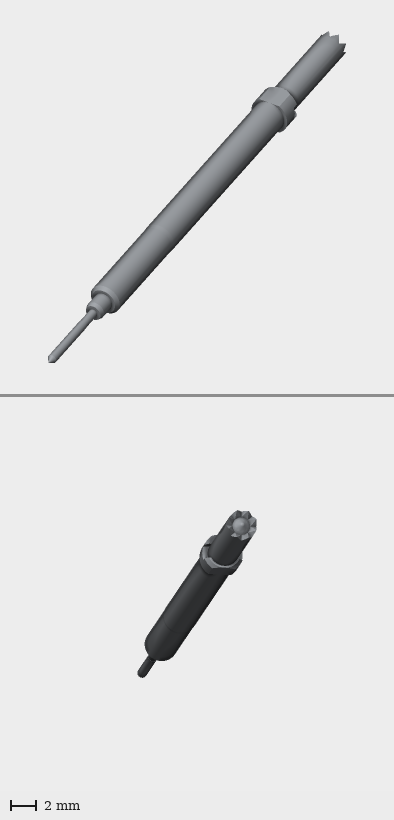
import cadquery as cq
import math


head_diameter = 2.35
head_length = 8.1
groove_count = 4
groove_pitch_angle = 180 / groove_count
groove_depth = 0.65
center_point_diameter = 1.4

collar_diameter = 3.2
collar_length = 2.05
collar_chamfer_length = 0.35
flat_distance = 2.65
key_slot_width = 1.1
key_slot_length = 0.85

barrel_diameter = 2.65
rear_barrel_diameter = 2.6
taper_start = 17.25
taper_length = 0.4
barrel_length = 26.05
barrel_chamfer_length = 0.3
barrel_end_diameter = 2.1

terminal_diameter = 1.55
terminal_length = 1.6
terminal_chamfer_length = 0.35
terminal_end_diameter = 1.3
pin_diameter = 0.75
pin_neck_diameter = 0.7
pin_neck_length = 1.65
pin_tip_length = 0.55
overall_length = 44.8

shoulder_y = collar_length
crown_y = shoulder_y + head_length
groove_floor_y = crown_y - groove_depth
tip_y = crown_y - overall_length
barrel_end_y = -barrel_length
terminal_end_y = barrel_end_y - terminal_length


def turned(profile):
    """Closed profile of (radius, y) points revolved about the Y axis."""
    return cq.Workplane("XY").polyline(profile).close().revolve(360, (0, 0, 0), (0, 1, 0))


def turned_body():
    """Head, collar, barrel, terminal and pin as one turned solid."""
    head_r = head_diameter / 2
    collar_r = collar_diameter / 2
    barrel_r = barrel_diameter / 2
    rear_r = rear_barrel_diameter / 2
    terminal_r = terminal_diameter / 2
    neck_r = pin_neck_diameter / 2
    pin_r = pin_diameter / 2
    profile = [
        (0, crown_y),
        (head_r, crown_y),
        (head_r, shoulder_y),
        (barrel_r, shoulder_y),
        (collar_r, shoulder_y - collar_chamfer_length),
        (collar_r, 0),
        (barrel_r, 0),
        (barrel_r, -taper_start),
        (rear_r, -taper_start - taper_length),
        (rear_r, barrel_end_y + barrel_chamfer_length),
        (barrel_end_diameter / 2, barrel_end_y),
        (terminal_r, barrel_end_y),
        (terminal_r, terminal_end_y + terminal_chamfer_length),
        (terminal_end_diameter / 2, terminal_end_y),
        (neck_r, terminal_end_y),
        (neck_r, terminal_end_y - pin_neck_length),
        (pin_r, terminal_end_y - pin_neck_length),
        (pin_r, tip_y + pin_tip_length),
        (0, tip_y),
    ]
    return turned(profile)


def collar_flats():
    """Blocks that trim the collar to its flats above and below the axis."""
    block = cq.Workplane("XY").box(
        collar_diameter, collar_length, collar_diameter, centered=(True, False, False)
    )
    upper = block.translate((0, 0, flat_distance / 2))
    lower = block.translate((0, 0, -flat_distance / 2 - collar_diameter))
    return upper.union(lower)


def key_slots():
    """Notches in both sides of the collar, open to the front and level with the head."""
    slot_bar = cq.Workplane("XY").box(
        2 * collar_diameter, key_slot_length, key_slot_width, centered=(True, False, True)
    )
    head_core = cq.Workplane("XZ").circle(head_diameter / 2).extrude(-key_slot_length)
    return slot_bar.cut(head_core).translate((0, shoulder_y - key_slot_length, 0))


def crown_groove(angle):
    """V groove across the whole crown; neighbouring grooves meet at the tooth tips."""
    half_pitch = math.radians(groove_pitch_angle / 2)
    half_width = head_diameter / 2 * math.sin(half_pitch)
    groove = (
        cq.Workplane("XY")
        .polyline([(-half_width, crown_y), (half_width, crown_y), (0, groove_floor_y)])
        .close()
        .extrude(head_diameter, both=True)
    )
    return groove.rotate((0, 0, 0), (0, 1, 0), angle)


def crown_cup():
    """Ring-shaped V recess that thins the teeth from inside around a central cone."""
    profile = [(0, crown_y), (head_diameter / 2, crown_y), (center_point_diameter / 2, groove_floor_y)]
    return turned(profile)


def center_point():
    """Cone in the middle of the crown, as high as the tooth tips."""
    profile = [(0, groove_floor_y), (center_point_diameter / 2, groove_floor_y), (0, crown_y)]
    return turned(profile)


result = turned_body().cut(collar_flats()).cut(key_slots()).cut(crown_cup())
for index in range(groove_count):
    result = result.cut(crown_groove(index * groove_pitch_angle))
result = result.union(center_point())